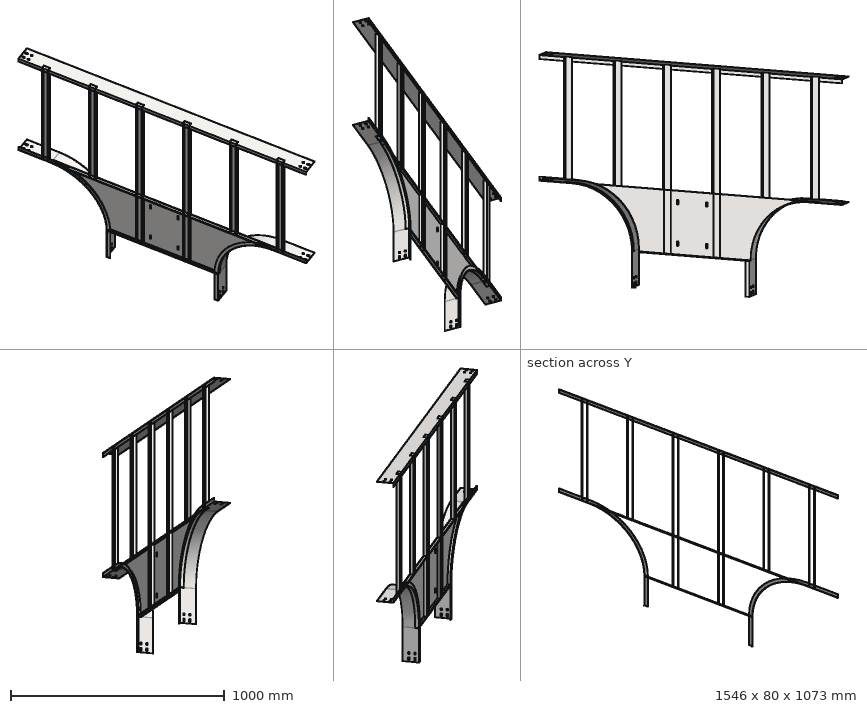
import cadquery as cq
import math


length = 1546.0
height = 1073.0
rail_depth = 80.0
sheet = 2.0

ladder_width = 600.0
bend_radius = ladder_width / 2
flange = 20.0
run_bottom = height - ladder_width
bend_bottom = run_bottom - bend_radius
leg_x = ladder_width / 2
bend_x = leg_x + bend_radius
end_x = length / 2

rung_width = 35.0
rung_lip = 6.0
rung_pitch = 252.0
channel_front = sheet
channel_back = 20.0

tray_overhang = 3.0
tray_top = run_bottom + tray_overhang
tray_bottom = bend_bottom - tray_overhang
tray_lip = 6.0
tray_slot_length = 22.0
tray_slot_width = 8.0
tray_slot_x = 74.0
tray_slot_levels = (223.0, 420.0)

splice_slots = ((15.0, 14.0), (43.0, 10.0))
splice_slot_width = 7.0
splice_rows = (20.0, 50.0)


def block(x0, x1, y0, y1, z0, z1):
    """Box spanning two opposite corners."""
    return cq.Workplane("XY").box(x1 - x0, y1 - y0, z1 - z0, centered=False).translate((x0, y0, z0))


def front_prism(sketch, y0, y1):
    """Extrude a closed XZ outline from y0 back to y1."""
    return sketch.extrude(-(y1 - y0)).translate((0, y0, 0))


def straight_rail():
    web = block(-end_x, end_x, 0, rail_depth, height - sheet, height)
    front = block(-end_x, end_x, 0, sheet, height - flange, height)
    return web.union(front)


def bent_strip(width, depth):
    """Strip of the given width along the inside of the left arm, bend and leg."""

    def bend_middle(radius):
        offset = radius * math.sin(math.radians(45))
        return (-bend_x + offset, bend_bottom + offset)

    outline = (
        cq.Workplane("XZ")
        .moveTo(-end_x, run_bottom)
        .lineTo(-bend_x, run_bottom)
        .threePointArc(bend_middle(bend_radius), (-leg_x, bend_bottom))
        .lineTo(-leg_x, 0)
        .lineTo(-leg_x + width, 0)
        .lineTo(-leg_x + width, bend_bottom)
        .threePointArc(bend_middle(bend_radius + width), (-bend_x, run_bottom + width))
        .lineTo(-end_x, run_bottom + width)
        .close()
    )
    return front_prism(outline, 0, depth)


def bent_rail():
    """Left bent rail: deep web on the outside and a flange across the front."""
    return bent_strip(sheet, rail_depth).union(bent_strip(flange, sheet))


def rung(x, bottom):
    """Lipped channel from the given level up to the straight rail."""
    half = rung_width / 2
    body = block(x - half, x + half, channel_front, channel_back, bottom, height)
    inside = half - sheet
    hollow = block(x - inside, x + inside, channel_front + sheet, channel_back - sheet, bottom, height)
    gap = half - rung_lip
    mouth = block(x - gap, x + gap, channel_front, channel_back - sheet, bottom, height)
    return body.cut(hollow).cut(mouth)


def with_rungs(body):
    """Add three rungs on each side; the inner pair reaches the bottom of the tray."""
    for index, bottom in enumerate((tray_bottom, tray_top - sheet, run_bottom)):
        offset = (index + 0.5) * rung_pitch
        for x in (-offset, offset):
            body = body.union(rung(x, bottom), clean=False)
    return body


def tray():
    """Flat back with lipped edges at the top and bottom, trimmed to the outside of the bends."""
    plate = block(-bend_x, bend_x, channel_back - sheet, channel_back, tray_bottom, tray_top)
    for edge, inward in ((tray_top, -1), (tray_bottom, 1)):
        shelf_levels = sorted((edge, edge + inward * sheet))
        lip_levels = sorted((edge, edge + inward * tray_lip))
        shelf = block(-bend_x, bend_x, channel_front, channel_back, *shelf_levels)
        lip = block(-bend_x, bend_x, channel_front, channel_front + sheet, *lip_levels)
        plate = plate.union(shelf).union(lip)

    for side in (-1, 1):
        bend = cq.Workplane("XZ").center(side * bend_x, bend_bottom).circle(bend_radius)
        plate = plate.cut(front_prism(bend, 0, rail_depth))
        leg_edge, outer_edge = sorted((side * leg_x, side * bend_x))
        plate = plate.cut(block(leg_edge, outer_edge, 0, rail_depth, 0, bend_bottom))

    slots = (
        cq.Workplane("XZ")
        .pushPoints([(x, z) for x in (-tray_slot_x, tray_slot_x) for z in tray_slot_levels])
        .slot2D(tray_slot_length, tray_slot_width, 90)
    )
    return plate.cut(front_prism(slots, 0, rail_depth))


def splice_cutters():
    """Slots through the webs at the six rail ends."""
    cutters = cq.Workplane("XY")
    for inset, slot_length in splice_slots:
        rail_points = [(side * (end_x - inset), y) for side in (-1, 1) for y in splice_rows]
        leg_points = [(y, inset) for y in splice_rows]
        through_arms = (
            cq.Workplane("XY").pushPoints(rail_points)
            .slot2D(slot_length, splice_slot_width).extrude(height)
        )
        through_legs = (
            cq.Workplane("YZ").pushPoints(leg_points)
            .slot2D(slot_length, splice_slot_width, 90).extrude(end_x, both=True)
        )
        cutters = cutters.add(through_arms).add(through_legs)
    return cutters.combine()


left_rail = bent_rail()
right_rail = left_rail.mirror("YZ")
rails = straight_rail().union(left_rail).union(right_rail).cut(splice_cutters())
result = with_rungs(rails.union(tray(), clean=False))